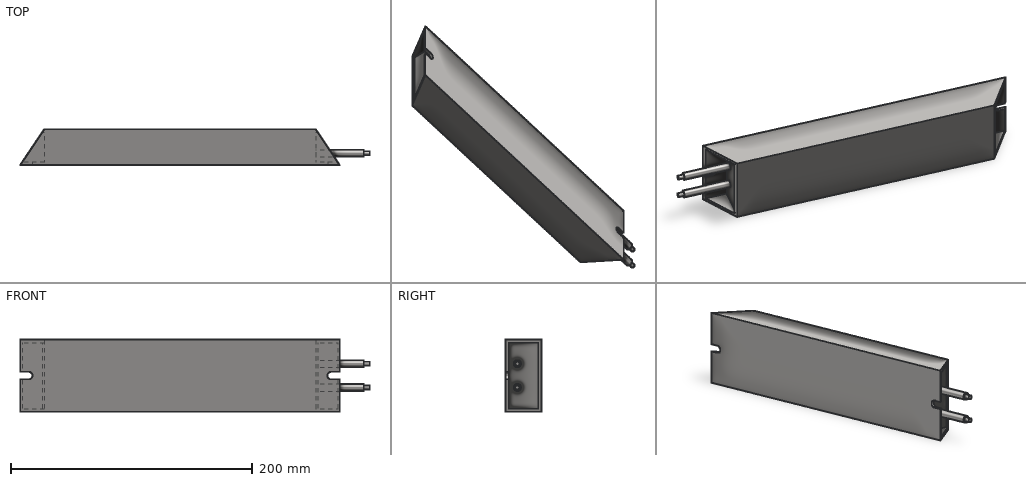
import cadquery as cq

total_length = 290
housing_length = 265.0
housing_depth = 30.0
housing_height = 60.0
end_inset = 20.0
wall = 2.5

recess_depth = 20.0

slot_width = 6.0
slot_depth = 10.2

lead_offset = 10.0
lead_y = 10.0
sleeve_diameter = 6.0
wire_diameter = 3.5
bare_wire_length = 5.0

mid_height = housing_height / 2
core_end = housing_length - recess_depth


def make_housing():
    """Solid block with slanted ends."""
    outline = [
        (0, 0),
        (housing_length, 0),
        (housing_length - end_inset, housing_depth),
        (end_inset, housing_depth),
    ]
    return cq.Workplane("XY").polyline(outline).close().extrude(housing_height)


def make_recess(start_x):
    """Rectangular pocket volume that leaves the wall all around."""
    return cq.Workplane("XY").box(
        recess_depth, housing_depth - 2 * wall, housing_height - 2 * wall, centered=False
    ).translate((start_x, wall, wall))


def make_slot(end_x):
    """Round-ended slot volume through the wall, centred on a housing end."""
    return (
        cq.Workplane("XZ", origin=(end_x, 0, mid_height))
        .slot2D(2 * slot_depth, slot_width)
        .extrude(-wall)
    )


def make_lead(z):
    """Sleeved lead rising from the recess floor, with a bare wire tip."""
    lead_start = cq.Workplane("YZ", origin=(core_end, lead_y, z))
    lead_length = total_length - core_end
    sleeve = lead_start.circle(sleeve_diameter / 2).extrude(lead_length - bare_wire_length)
    wire = lead_start.circle(wire_diameter / 2).extrude(lead_length)
    return sleeve.union(wire)


result = make_housing()
for recess_start in (0, core_end):
    result = result.cut(make_recess(recess_start))
for housing_end in (0, housing_length):
    result = result.cut(make_slot(housing_end))
for side in (-1, 1):
    result = result.union(make_lead(mid_height + side * lead_offset))